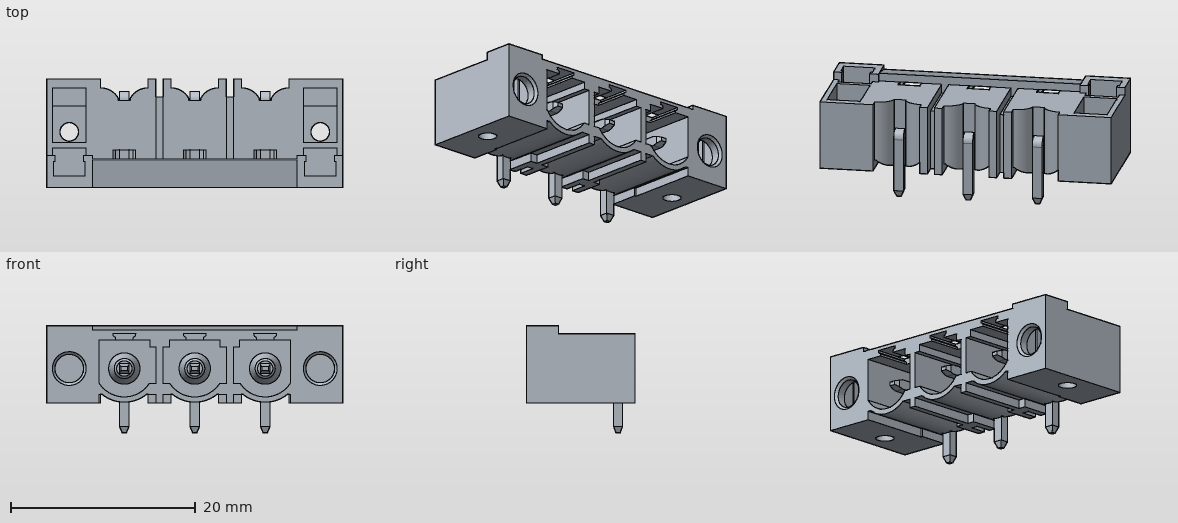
import cadquery as cq
import math


LENGTH = 32.05
DEPTH = 11.75
BODY_TOP = 7.53
FRONT_TOP = 8.4
FLANGE_STEP_DEPTH = 3.5

LEDGE_HALF_LENGTH = 11.1
LEDGE_DEPTH = 3.1
SLOPE_DEPTH = 2.9
SLOPE_FRONT_Z = 7.9

PITCH = 7.63
POLE_COUNT = 3
POLES = [(i - (POLE_COUNT - 1) / 2) * PITCH for i in range(POLE_COUNT)]
AXIS_Z = 3.75
RIB_WIDTH = 0.77
CELL_HALF_WIDTH = (PITCH - RIB_WIDTH) / 2

CAVITY_HALF_WIDTH = 2.75
CAVITY_TOP = 6.85
CAVITY_BACK = 8.33
TROUGH_CENTER_Z = 3.9
TROUGH_RADIUS = 3.25
SIDE_BOTTOM = 2.1
SIDE_TOP = 6.1
TROUGH_EDGE_Z = TROUGH_CENTER_Z - math.sqrt(TROUGH_RADIUS**2 - CAVITY_HALF_WIDTH**2)

UNDERSIDE_Z = 0.95
SHELL_RADIUS = 3.8

RECESS_HALF_WIDTH = 2.55
RECESS_FLOOR_Y = 10.8
RECESS_ARC_RADIUS = 2.18
PIN_NOTCH_HALF_WIDTH = 0.65
PIN_NOTCH_Y = 9.42

GROOVE_FLOOR_Z = 6.57
GROOVE_THROUGH_Y = 9.8

DOVETAIL_TOP_HALF = 1.22
DOVETAIL_BOTTOM_HALF = 0.93
DOVETAIL_FLARE_LOW = 7.08
DOVETAIL_FLARE_HIGH = 7.3
DOVETAIL_DEPTH = 4.07

COLLAR_BASE_RADIUS = 1.7
COLLAR_TIP_RADIUS = 1.1
COLLAR_FACE_RADIUS = 0.83
COLLAR_CONE_LENGTH = 1.6
COLLAR_CHAMFER_LENGTH = 0.22

FLANGE_X = 13.6
SCREW_RADIUS = 1.55
SCREW_CHAMFER = 0.3
POCKET_WIDTH = 3.65
POCKET_FLOOR_Z = 0.95
NUT_SLOT_WIDTH = 3.45
NUT_SLOT_FRONT = 1.25
NUT_SLOT_LIPS_Y = 2.82
NUT_LIP_GAP = 3.08
NUT_SLOT_BACK = 4.25
REAR_POCKET_FRONT = 4.87
REAR_POCKET_SHELF_Y = 8.85
REAR_POCKET_BACK = 10.8
REAR_SHELF_Z = 5.83
BOARD_HOLE_RADIUS = 1.0
BOARD_HOLE_Y = 6.02

PIN_WIDTH = 1.05
PIN_HEIGHT = 1.05
LEG_DEPTH = 1.0
LEG_TIP_Z = -3.2
LEG_TAPER_Z = -2.5
LEG_TIP_SIZE = 0.48
NOSE_Y = 0.9
NOSE_SIDE_TAPER_Y = 1.47
NOSE_TOP_TAPER_Y = 1.95
NOSE_TIP_WIDTH = 0.67
NOSE_TIP_HEIGHT = 0.42


def box(x0, x1, y0, y1, z0, z1):
    """Block between two opposite corners."""
    size = (x1 - x0, y1 - y0, z1 - z0)
    return cq.Workplane("XY").box(*size, centered=False).translate((x0, y0, z0))


def along_y(sketch, y0, y1):
    """Extrude an outline drawn in X and Z from y0 to y1."""
    return sketch.extrude(-(y1 - y0)).translate((0, y0, 0))


def base_block():
    """Main block with the raised flange fronts and the sloped ledge between them."""
    half = LENGTH / 2
    body = box(-half, half, 0, DEPTH, 0, BODY_TOP)
    for x0, x1 in ((-half, -LEDGE_HALF_LENGTH), (LEDGE_HALF_LENGTH, half)):
        body = body.union(box(x0, x1, 0, FLANGE_STEP_DEPTH, BODY_TOP, FRONT_TOP))
    ledge = (
        cq.Workplane("YZ")
        .polyline([
            (0, BODY_TOP),
            (0, SLOPE_FRONT_Z),
            (SLOPE_DEPTH, FRONT_TOP),
            (LEDGE_DEPTH, FRONT_TOP),
            (LEDGE_DEPTH, BODY_TOP),
        ])
        .close()
        .extrude(LEDGE_HALF_LENGTH, both=True)
    )
    return body.union(ledge)


def inner_sides(pole_x):
    """Sides (-1, +1) of a pole that face another pole."""
    return [s for s in (-1, 1) if POLES[0] < pole_x + s * PITCH / 2 < POLES[-1]]


def side_block(pole_x, side, near, far, y1, z0, z1):
    """Block beside a pole, from the front face back to y1."""
    x0, x1 = sorted((pole_x + side * near, pole_x + side * far))
    return box(x0, x1, 0, y1, z0, z1)


def underside_relief(pole_x):
    """Space under a pole, wider in front of the rear wall."""
    relief = box(pole_x - RECESS_HALF_WIDTH, pole_x + RECESS_HALF_WIDTH, 0, DEPTH, 0, UNDERSIDE_Z)
    for side in (-1, 1):
        far = CELL_HALF_WIDTH if side in inner_sides(pole_x) else CAVITY_HALF_WIDTH
        relief = relief.union(side_block(pole_x, side, 0, far, CAVITY_BACK, 0, UNDERSIDE_Z))
    return relief


def trough_shell(pole_x):
    """Rounded bulge below a pole that carries the round cavity floor."""
    shell = along_y(cq.Workplane("XZ").center(pole_x, TROUGH_CENTER_Z).circle(SHELL_RADIUS), 0, DEPTH)
    space_below = box(
        pole_x - RECESS_HALF_WIDTH, pole_x + RECESS_HALF_WIDTH, 0, DEPTH, 0, UNDERSIDE_Z
    )
    return shell.intersect(space_below)


def cavity(pole_x):
    """Plug cavity with a round floor, widened toward neighbouring poles."""
    outline = (
        cq.Workplane("XZ")
        .center(pole_x, 0)
        .moveTo(-CAVITY_HALF_WIDTH, TROUGH_EDGE_Z)
        .threePointArc((0, TROUGH_CENTER_Z - TROUGH_RADIUS), (CAVITY_HALF_WIDTH, TROUGH_EDGE_Z))
        .lineTo(CAVITY_HALF_WIDTH, CAVITY_TOP)
        .lineTo(-CAVITY_HALF_WIDTH, CAVITY_TOP)
        .close()
    )
    space = along_y(outline, 0, CAVITY_BACK)
    for side in inner_sides(pole_x):
        space = space.union(
            side_block(pole_x, side, 0, CELL_HALF_WIDTH, CAVITY_BACK, SIDE_BOTTOM, SIDE_TOP)
        )
    return space


def collar(pole_x):
    """Tapered collar standing on the cavity back wall."""
    cone_y = CAVITY_BACK - COLLAR_CONE_LENGTH
    face_y = cone_y - COLLAR_CHAMFER_LENGTH
    return (
        cq.Workplane("XY")
        .polyline([
            (0, CAVITY_BACK),
            (COLLAR_BASE_RADIUS, CAVITY_BACK),
            (COLLAR_TIP_RADIUS, cone_y),
            (COLLAR_FACE_RADIUS, face_y),
            (0, face_y),
        ])
        .close()
        .revolve(360, (0, 0), (0, 1))
        .translate((pole_x, 0, AXIS_Z))
    )


def rear_recess(pole_x):
    """Recess in the rear wall: two round shoulders run in to the pin notch."""
    shoulder_y = RECESS_FLOOR_Y - RECESS_ARC_RADIUS

    def on_shoulder(x):
        return shoulder_y + math.sqrt(RECESS_ARC_RADIUS**2 - (RECESS_HALF_WIDTH - x) ** 2)

    notch_top_y = on_shoulder(PIN_NOTCH_HALF_WIDTH)
    middle_x = (RECESS_HALF_WIDTH + PIN_NOTCH_HALF_WIDTH) / 2
    middle_y = on_shoulder(middle_x)
    return (
        cq.Workplane("XY")
        .center(pole_x, 0)
        .moveTo(-RECESS_HALF_WIDTH, DEPTH)
        .lineTo(-RECESS_HALF_WIDTH, RECESS_FLOOR_Y)
        .threePointArc((-middle_x, middle_y), (-PIN_NOTCH_HALF_WIDTH, notch_top_y))
        .lineTo(-PIN_NOTCH_HALF_WIDTH, PIN_NOTCH_Y)
        .lineTo(PIN_NOTCH_HALF_WIDTH, PIN_NOTCH_Y)
        .lineTo(PIN_NOTCH_HALF_WIDTH, notch_top_y)
        .threePointArc((middle_x, middle_y), (RECESS_HALF_WIDTH, RECESS_FLOOR_Y))
        .lineTo(RECESS_HALF_WIDTH, DEPTH)
        .close()
        .extrude(BODY_TOP)
    )


def dovetail(pole_x):
    """Coding groove from the cavity ceiling to the top surface."""
    right = [
        (DOVETAIL_BOTTOM_HALF, CAVITY_TOP),
        (DOVETAIL_BOTTOM_HALF, DOVETAIL_FLARE_LOW),
        (DOVETAIL_TOP_HALF, DOVETAIL_FLARE_HIGH),
        (DOVETAIL_TOP_HALF, BODY_TOP),
    ]
    left = [(-x, z) for x, z in reversed(right)]
    outline = cq.Workplane("XZ").center(pole_x, 0).polyline(right + left).close()
    return along_y(outline, 0, DOVETAIL_DEPTH)


def pin_hole(pole_x):
    """Square hole that holds the straight part of a pin."""
    return box(
        pole_x - PIN_WIDTH / 2, pole_x + PIN_WIDTH / 2,
        0, PIN_NOTCH_Y,
        AXIS_Z - PIN_HEIGHT / 2, AXIS_Z + PIN_HEIGHT / 2,
    )


def pole_groove(x):
    """Groove in the top between two poles, open through the rear wall."""
    x0 = x - RIB_WIDTH / 2
    x1 = x + RIB_WIDTH / 2
    groove = box(x0, x1, LEDGE_DEPTH, DEPTH, GROOVE_FLOOR_Z, BODY_TOP)
    return groove.union(box(x0, x1, GROOVE_THROUGH_Y, DEPTH, 0, BODY_TOP))


def flange_cuts(x):
    """Screw hole, nut slot, rear pocket and board hole of one flange."""

    def pocket(width, y0, y1, floor_z):
        return box(x - width / 2, x + width / 2, y0, y1, floor_z, FRONT_TOP)

    screw_outline = [
        (0, 0),
        (SCREW_RADIUS + SCREW_CHAMFER, 0),
        (SCREW_RADIUS, SCREW_CHAMFER),
        (SCREW_RADIUS, NUT_SLOT_FRONT),
        (0, NUT_SLOT_FRONT),
    ]
    screw_hole = cq.Workplane("XY").polyline(screw_outline).close().revolve(360, (0, 0), (0, 1))
    board_hole = cq.Workplane("XY").center(x, BOARD_HOLE_Y).circle(BOARD_HOLE_RADIUS)
    return (
        screw_hole.translate((x, 0, AXIS_Z))
        .union(pocket(NUT_SLOT_WIDTH, NUT_SLOT_FRONT, NUT_SLOT_LIPS_Y, POCKET_FLOOR_Z))
        .union(pocket(NUT_LIP_GAP, NUT_SLOT_LIPS_Y, FLANGE_STEP_DEPTH, POCKET_FLOOR_Z))
        .union(pocket(POCKET_WIDTH, FLANGE_STEP_DEPTH, NUT_SLOT_BACK, POCKET_FLOOR_Z))
        .union(pocket(POCKET_WIDTH, REAR_POCKET_FRONT, REAR_POCKET_SHELF_Y, POCKET_FLOOR_Z))
        .union(pocket(POCKET_WIDTH, REAR_POCKET_SHELF_Y, REAR_POCKET_BACK, REAR_SHELF_Z))
        .union(board_hole.extrude(POCKET_FLOOR_Z))
    )


def make_housing():
    body = base_block()
    for x in POLES:
        body = body.cut(underside_relief(x)).union(trough_shell(x))
        body = body.cut(cavity(x)).union(collar(x))
        body = body.cut(rear_recess(x)).cut(dovetail(x)).cut(pin_hole(x))
    for x in POLES[:-1]:
        body = body.cut(pole_groove(x + PITCH / 2))
    for x in (-FLANGE_X, FLANGE_X):
        body = body.cut(flange_cuts(x))
    return body


def make_pin(pole_x):
    """Pin with a straight nose inside the cavity and a leg bent down behind the wall."""
    arm_top = AXIS_Z + PIN_HEIGHT / 2
    arm_bottom = AXIS_Z - PIN_HEIGHT / 2
    leg_front = PIN_NOTCH_Y
    leg_back = PIN_NOTCH_Y + LEG_DEPTH
    leg_middle = PIN_NOTCH_Y + LEG_DEPTH / 2
    bend_z = arm_top - LEG_DEPTH
    bend_mid = LEG_DEPTH * math.sqrt(0.5)
    half_width = PIN_WIDTH / 2

    pin = (
        cq.Workplane("YZ")
        .moveTo(NOSE_Y, AXIS_Z + NOSE_TIP_HEIGHT / 2)
        .lineTo(NOSE_TOP_TAPER_Y, arm_top)
        .lineTo(leg_front, arm_top)
        .threePointArc((leg_front + bend_mid, bend_z + bend_mid), (leg_back, bend_z))
        .lineTo(leg_back, LEG_TAPER_Z)
        .lineTo(leg_middle + LEG_TIP_SIZE / 2, LEG_TIP_Z)
        .lineTo(leg_middle - LEG_TIP_SIZE / 2, LEG_TIP_Z)
        .lineTo(leg_front, LEG_TAPER_Z)
        .lineTo(leg_front, arm_bottom)
        .lineTo(NOSE_TOP_TAPER_Y, arm_bottom)
        .lineTo(NOSE_Y, AXIS_Z - NOSE_TIP_HEIGHT / 2)
        .close()
        .extrude(half_width, both=True)
    )
    for side in (-1, 1):
        nose_corner = (
            cq.Workplane("XY")
            .polyline([
                (side * NOSE_TIP_WIDTH / 2, NOSE_Y),
                (side * half_width, NOSE_Y),
                (side * half_width, NOSE_SIDE_TAPER_Y),
            ])
            .close()
            .extrude(arm_top)
        )
        leg_corner = (
            cq.Workplane("XZ")
            .polyline([
                (side * LEG_TIP_SIZE / 2, LEG_TIP_Z),
                (side * half_width, LEG_TIP_Z),
                (side * half_width, LEG_TAPER_Z),
            ])
            .close()
        )
        pin = pin.cut(nose_corner).cut(along_y(leg_corner, 0, DEPTH))
    return pin.translate((pole_x, 0, 0))


housing = make_housing()
pins = [make_pin(x) for x in POLES]

result = cq.Compound.makeCompound([housing.val(), *[pin.val() for pin in pins]])